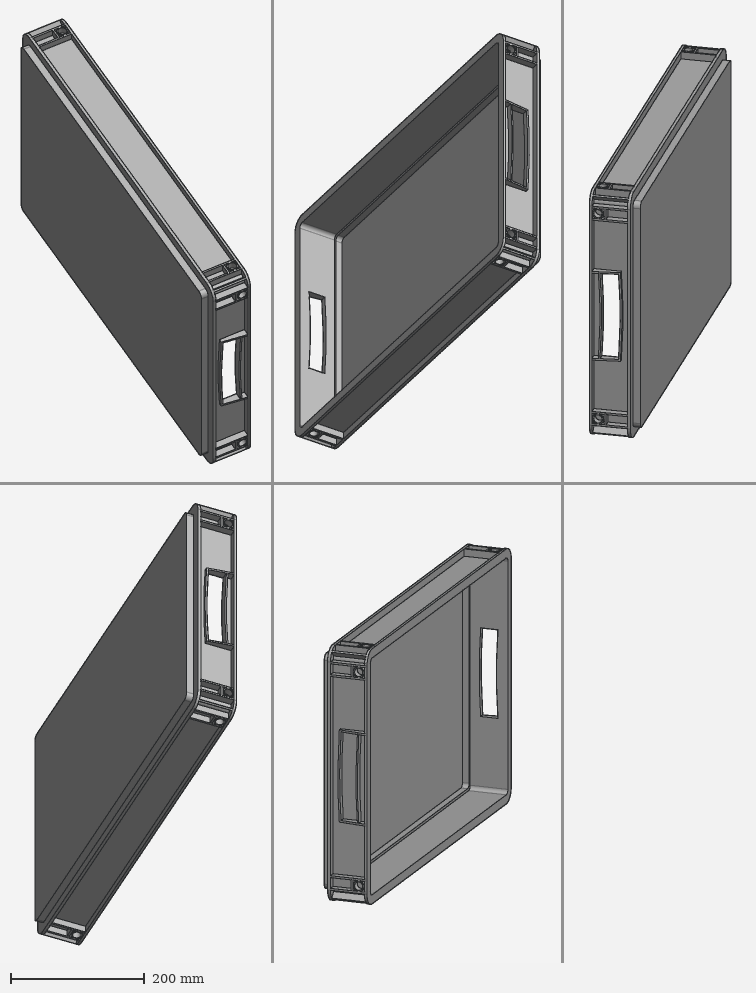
import cadquery as cq

LENGTH = 598.0
DEPTH = 75.0
HEIGHT = 398.0
CORNER_RADIUS = 21.0

FOOT_DEPTH = 11.5
FOOT_INSET = 15.5
FOOT_RADIUS = 9.0

RECESS_TOP = 4.0
RECESS_BOTTOM = 58.5
RECESS_DEPTH = 11.5
RIB = 3.0
POCKET_WIDTH = 17.0
TUBE_POCKET_LENGTH = 18.5
TUBE_DIAMETER = 17.5
TUBE_BORE = 13.0
TUBE_WEB = 11.0

WALL = RECESS_DEPTH + RIB
CAVITY_RADIUS = CORNER_RADIUS - WALL
BASE = 3.5

GRIP_LENGTH = 138.0
GRIP_TOP = 16.0
GRIP_BOTTOM = 43.5
GRIP_BOW = 2.5
FRAME_DROP = 7.0
FRAME_TOP_BAR = 2.5

RIM_Y = DEPTH / 2
BODY_DEPTH = DEPTH - FOOT_DEPTH
POCKET_START = CORNER_RADIUS + RIB
POCKET_END = POCKET_START + POCKET_WIDTH
PANEL_START = POCKET_END + RIB


def slab(length, height, radius, top, bottom):
    """Rounded plate between two distances below the rim."""
    plate = cq.Workplane("XY").box(length, bottom - top, height)
    return plate.edges("|Y").fillet(radius).translate((0, RIM_Y - (top + bottom) / 2, 0))


def side_block(start, end, top, bottom):
    """Block sunk to the recess depth below the plane z = 0, from x = start to x = end."""
    block = cq.Workplane("XY").box(end - start, bottom - top, RECESS_DEPTH, centered=False)
    return block.translate((start, RIM_Y - bottom, -RECESS_DEPTH))


def tube_pocket(half):
    """Pocket around a bored tube that a cross web joins to two of the pocket's walls."""
    start = half - POCKET_END
    bottom = RECESS_TOP + TUBE_POCKET_LENGTH
    pocket = side_block(start, start + POCKET_WIDTH, RECESS_TOP, bottom)
    middle_y = RIM_Y - (RECESS_TOP + bottom) / 2
    axis = cq.Workplane("XY", origin=(start + POCKET_WIDTH / 2, middle_y, 0))
    tube = axis.circle(TUBE_DIAMETER / 2).circle(TUBE_BORE / 2).extrude(-RECESS_DEPTH)
    web = axis.rect(POCKET_WIDTH, TUBE_WEB).circle(TUBE_BORE / 2).extrude(-RECESS_DEPTH)
    return pocket.cut(tube).cut(web)


def slot_pocket(half):
    """Plain pocket between the tube pocket and the base of the body."""
    top = RECESS_TOP + TUBE_POCKET_LENGTH + RIB
    return side_block(half - POCKET_END, half - POCKET_START, top, RECESS_BOTTOM)


def panel(half):
    """Wide recess between the two corner posts."""
    reach = half - PANEL_START
    return side_block(-reach, reach, RECESS_TOP, RECESS_BOTTOM)


def grip_prism(half_length, top, bottom, depth, top_bow=GRIP_BOW):
    """Prism whose long edges bow towards the base; the upper one is straight for no bow."""
    y_top = RIM_Y - top
    y_bottom = RIM_Y - bottom
    start = cq.Workplane("XY").moveTo(-half_length, y_top)
    if top_bow:
        start = start.threePointArc((0, y_top - top_bow), (half_length, y_top))
    else:
        start = start.lineTo(half_length, y_top)
    return (
        start.lineTo(half_length, y_bottom)
        .threePointArc((0, y_bottom - GRIP_BOW), (-half_length, y_bottom))
        .close()
        .extrude(-depth)
    )


def grip_frame():
    """Ribs around the hand hole, highest at the rim and sloping down towards the base."""
    half_hole = GRIP_LENGTH / 2
    half_frame = half_hole + RIB
    frame_bottom = GRIP_BOTTOM + RIB
    frame = grip_prism(half_frame, RECESS_TOP, frame_bottom, RECESS_DEPTH, 0)
    behind = grip_prism(half_hole, RECESS_TOP, GRIP_TOP - FRAME_TOP_BAR, RECESS_DEPTH, 0)
    slope = (
        cq.Workplane("YZ", origin=(-half_frame, 0, 0))
        .moveTo(RIM_Y - RECESS_TOP, 0)
        .lineTo(RIM_Y - RECESS_BOTTOM, 0)
        .lineTo(RIM_Y - RECESS_BOTTOM, -FRAME_DROP)
        .close()
        .extrude(2 * half_frame)
    )
    return frame.cut(behind).cut(slope)


def side_recesses(half, has_grip):
    """All cuts of one side, with the outer plane at z = 0."""
    cuts = panel(half)
    if has_grip:
        hole = grip_prism(GRIP_LENGTH / 2, GRIP_TOP, GRIP_BOTTOM, WALL)
        cuts = cuts.cut(grip_frame()).union(hole)
    corner = tube_pocket(half).union(slot_pocket(half))
    return cuts.union(corner).union(corner.mirror("YZ"))


def corner_recess():
    """Recess wrapped around the +X +Z corner, split by a rib along the corner's diagonal."""
    middle_y = RIM_Y - (RECESS_TOP + RECESS_BOTTOM) / 2
    recess_width = RECESS_BOTTOM - RECESS_TOP
    rib_length = 4 * CORNER_RADIUS
    axis = cq.Workplane("XZ", origin=(0, middle_y, 0))
    square = axis.rect(CORNER_RADIUS, CORNER_RADIUS, centered=False).extrude(recess_width / 2, both=True)
    floor = axis.circle(CORNER_RADIUS - RECESS_DEPTH).extrude(recess_width, both=True)
    rib = axis.rect(rib_length, RIB).extrude(recess_width, both=True).rotate((0, 0, 0), (0, 1, 0), -45)
    recess = square.cut(floor).cut(rib)
    return recess.translate((LENGTH / 2 - CORNER_RADIUS, 0, HEIGHT / 2 - CORNER_RADIUS))


body = slab(LENGTH, HEIGHT, CORNER_RADIUS, 0, BODY_DEPTH)
step_floor = BODY_DEPTH - RIB
foot = slab(LENGTH - 2 * FOOT_INSET, HEIGHT - 2 * FOOT_INSET, FOOT_RADIUS, step_floor, DEPTH)
cavity = slab(LENGTH - 2 * WALL, HEIGHT - 2 * WALL, CAVITY_RADIUS, 0, step_floor)
foot_wall = FOOT_INSET + RIB
foot_cavity = slab(LENGTH - 2 * foot_wall, HEIGHT - 2 * foot_wall, CAVITY_RADIUS, 0, DEPTH - BASE)
result = body.union(foot).cut(cavity).cut(foot_cavity)

long_side = side_recesses(LENGTH / 2, False).translate((0, 0, HEIGHT / 2))
short_side = side_recesses(HEIGHT / 2, True).translate((0, 0, LENGTH / 2))
for turn in (0, 180):
    result = result.cut(long_side.rotate((0, 0, 0), (0, 1, 0), turn))
    result = result.cut(short_side.rotate((0, 0, 0), (0, 1, 0), turn + 90))

right_corners = corner_recess()
right_corners = right_corners.union(right_corners.mirror("XY"))
result = result.cut(right_corners).cut(right_corners.mirror("YZ")).solids()